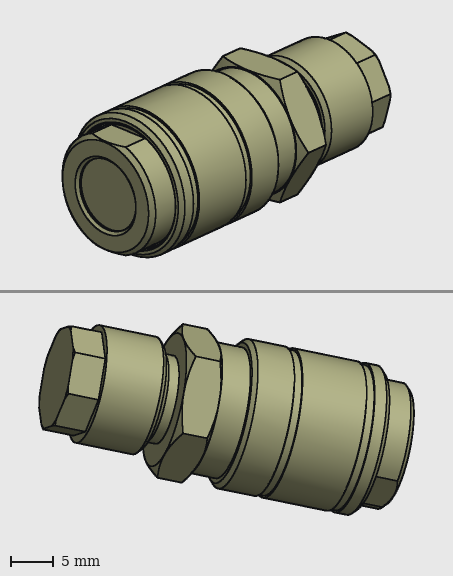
import cadquery as cq
import math

length = 42.0

nose_radius = 7.55
nose_chamfer = 0.6
nose_flat_half_width = 7.05
nose_flat_length = 3.85
recess_radius = 4.55
recess_depth = 0.65
recess_chamfer = 0.38

sleeve_front = 3.53
sleeve_back = 20.6
sleeve_diameter = 17.95
sleeve_radius = sleeve_diameter / 2
sleeve_chamfer = 0.55
sleeve_bore_radius = 7.8
sleeve_bore_depth = 0.85
sleeve_bore_chamfer = 0.15
groove_depth = 0.25
groove_width = 1.0
groove_starts = (5.55, 14.5)

neck_radius = 7.85
nut_front = 24.1
nut_back = 28.55
nut_corner_radius = 9.25
nut_face_radius = 8.0
chamfer_angle = math.radians(30)

stem_radius = 5.3
cone_front = 29.8
cone_back_radius = 6.0
collar_front = 30.55
collar_back = 38.1
collar_radius = 7.05
collar_chamfer = 0.55

octagon_corner_radius = 6.45
octagon_face_radius = 6.17
octagon_turn = -7.2


def revolve_profile(points):
    """Revolve (radius, station) points about the Y axis."""
    return cq.Workplane("XY").polyline(points).close().revolve(360, (0, 0, 0), (0, 1, 0))


def cylinder(radius, start, end):
    return revolve_profile([(0, start), (radius, start), (radius, end), (0, end)])


def prism(sides, corner_radius, start, end, turn=0.0):
    """Regular prism along Y, with a corner toward +X before it is turned."""
    plane = cq.Workplane("XZ", origin=(0, start, 0))
    blank = plane.polygon(sides, 2 * corner_radius).extrude(start - end)
    return blank.rotate((0, 0, 0), (0, 1, 0), turn)


def make_nose():
    nose = cylinder(nose_radius, 0, sleeve_back).faces("<Y").chamfer(nose_chamfer)
    flat_cut_height = nose_radius - nose_flat_half_width
    for side in (-1, 1):
        flat_cut = cq.Workplane("XY").box(
            2 * nose_radius, nose_flat_length, flat_cut_height, centered=(True, False, True)
        )
        nose = nose.cut(flat_cut.translate((0, 0, side * (nose_radius - flat_cut_height / 2))))
    recess = revolve_profile([
        (0, 0),
        (recess_radius + recess_chamfer, 0),
        (recess_radius, recess_chamfer),
        (recess_radius, recess_depth),
        (0, recess_depth),
    ])
    return nose.cut(recess)


def make_sleeve():
    sleeve = cylinder(sleeve_radius, sleeve_front, sleeve_back).faces("<Y or >Y").chamfer(sleeve_chamfer)
    for start in groove_starts:
        end = start + groove_width
        ring = cylinder(sleeve_radius, start, end).cut(cylinder(sleeve_radius - groove_depth, start, end))
        sleeve = sleeve.cut(ring)
    bore_end = sleeve_front + sleeve_bore_depth
    bore = revolve_profile([
        (0, sleeve_front),
        (sleeve_bore_radius + sleeve_bore_chamfer, sleeve_front),
        (sleeve_bore_radius, sleeve_front + sleeve_bore_chamfer),
        (sleeve_bore_radius, bore_end),
        (0, bore_end),
    ])
    return sleeve.cut(bore)


def make_nut():
    drop = (nut_corner_radius - nut_face_radius) * math.tan(chamfer_angle)
    envelope = revolve_profile([
        (0, nut_front),
        (nut_face_radius, nut_front),
        (nut_corner_radius, nut_front + drop),
        (nut_corner_radius, nut_back - drop),
        (nut_face_radius, nut_back),
        (0, nut_back),
    ])
    return prism(6, nut_corner_radius, nut_front, nut_back).intersect(envelope)


def make_collar():
    return revolve_profile([
        (0, nut_back),
        (stem_radius, nut_back),
        (stem_radius, cone_front),
        (cone_back_radius, collar_front),
        (collar_radius - collar_chamfer, collar_front),
        (collar_radius, collar_front + collar_chamfer),
        (collar_radius, collar_back),
        (0, collar_back),
    ])


def make_octagon():
    drop = (octagon_corner_radius - octagon_face_radius) * math.tan(chamfer_angle)
    envelope = revolve_profile([
        (0, collar_back),
        (octagon_corner_radius, collar_back),
        (octagon_corner_radius, length - drop),
        (octagon_face_radius, length),
        (0, length),
    ])
    return prism(8, octagon_corner_radius, collar_back, length, octagon_turn).intersect(envelope)


neck = cylinder(neck_radius, sleeve_back, nut_front)
result = make_sleeve()
for section in (make_nose(), neck, make_nut(), make_collar(), make_octagon()):
    result = result.union(section)